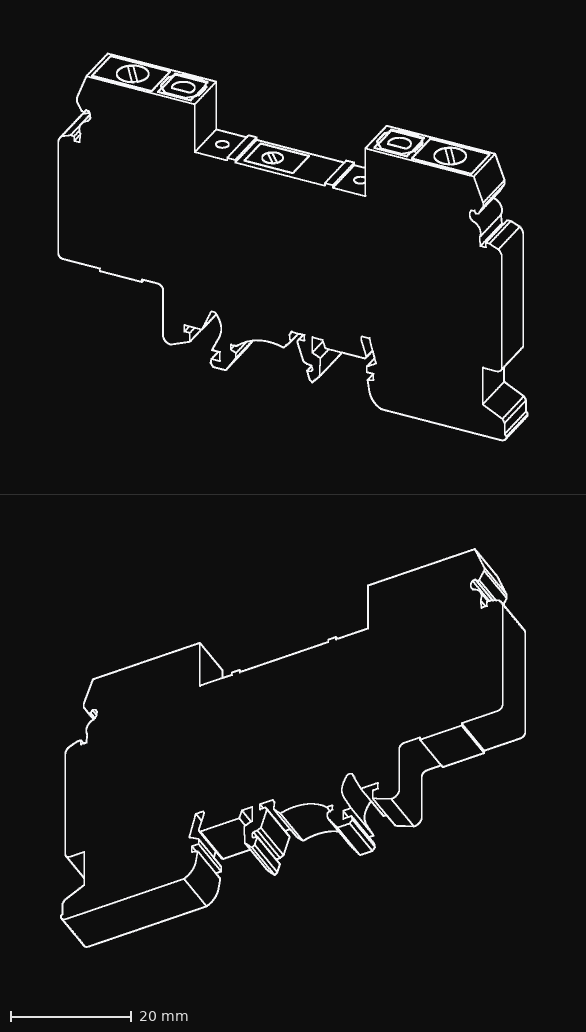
import cadquery as cq
import math

thickness = 8.0
housing_length = 82.0
housing_bottom = 13.4
deck_level = 40.8
block_top = 50.1
block_inner_x = 25.25
shoulder_base = 34.8
rail_gap_top = 10.8
foot_bottom = 0.25
rib_height = 0.5
engraving = 0.1
mid_x = housing_length / 2


def line(*point):
    """One straight step of an outline."""
    return (point,)


def arc(through, end):
    """One round step of an outline."""
    return (through, end)


def plate(start, steps):
    """Extrude a closed XZ outline through the whole thickness."""
    sketch = cq.Workplane("XZ").moveTo(*start)
    for step in steps:
        if len(step) == 1:
            sketch = sketch.lineTo(*step[0])
        else:
            sketch = sketch.threePointArc(*step)
    return sketch.close().extrude(thickness / 2, both=True)


def slab(x_range, z_range):
    """Full-thickness rectangular block."""
    (x0, x1), (z0, z1) = x_range, z_range
    return plate((x0, z0), [line(x1, z0), line(x1, z1), line(x0, z1)])


def across(solid):
    """Copy a solid to the other end of the housing."""
    return solid.mirror("YZ", (mid_x, 0, 0))


corner_radius = 1.0
pad_x = (7.7, 15.5)
pad_height = 0.5


def housing():
    core = slab((0, housing_length), (housing_bottom, shoulder_base))
    core = core.edges("|Y and <Z").fillet(corner_radius)
    deck = slab((block_inner_x, housing_length - block_inner_x), (shoulder_base, deck_level))
    pad = slab(pad_x, (housing_bottom - pad_height, housing_bottom))
    return core.union(deck).union(pad)


def terminal_block():
    return plate(
        (0, shoulder_base),
        [
            line(0, 35.8),
            arc((0.2, 36.5), (0.7, 37.2)),
            line(2.3, 37.8),
            line(3.0, 37.8),
            line(3.0, 36.9),
            line(4.0, 36.9),
            line(4.1, 38.6),
            arc((4.1, 40.3), (5.4, 41.4)),
            arc((6.0, 42.65), (5.6, 43.4)),
            line(5.1, 43.5),
            line(4.8, 43.0),
            line(4.4, 43.05),
            line(3.5, 44.7),
            line(3.5, 45.45),
            line(5.2, block_top),
            line(block_inner_x, block_top),
            line(block_inner_x, shoulder_base),
        ],
    )


foot_x = 19.4
foot_root_radius = 1.0
root_mid = foot_root_radius * (1 - math.sqrt(0.5))
root_level = housing_bottom + 0.8
root_joint_x = 43.05
rail_seat = 6.7
rail_lip = 5.5
toe_root_x = 78.4


def fixed_foot_and_clip():
    """Left rail foot, the spring slot beside it and the hooked clip."""
    return plate(
        (foot_x, root_level),
        [
            line(foot_x - foot_root_radius, root_level),
            line(foot_x - foot_root_radius, housing_bottom),
            arc(
                (foot_x - root_mid, housing_bottom - root_mid),
                (foot_x, housing_bottom - foot_root_radius),
            ),
            line(foot_x, 3.7),
            arc((19.8, 2.65), (20.9, 2.2)),
            line(24.35, 3.7),
            line(24.35, rail_lip),
            line(23.35, rail_lip),
            line(23.35, rail_seat),
            line(26.6, rail_seat),
            line(28.1, 10.2),
            arc((28.7, 10.8), (29.3, 10.3)),
            arc((30.0, 8.9), (30.1, 7.45)),
            line(29.8, 6.2),
            line(28.4, 3.2),
            line(29.9, 3.2),
            line(29.9, 1.5),
            line(28.3, 1.5),
            line(28.15, 0.7),
            line(28.65, 0),
            line(31.0, 0),
            line(32.8, 2.8),
            line(32.9, 3.9),
            line(31.9, 4.3),
            line(31.9, 5.2),
            line(32.95, 5.2),
            arc((37.4, 7.5), (41.65, 7.3)),
            line(42.9, 8.7),
            line(42.7, 10.1),
            line(root_joint_x, rail_gap_top),
            line(root_joint_x, root_level),
        ],
    )


def prong():
    """Thin barbed prong in the middle of the rail gap."""
    return plate(
        (45.45, rail_gap_top),
        [
            line(45.45, 9.7),
            line(44.5, 9.7),
            line(44.1, 9.2),
            line(45.3, 5.6),
            line(45.95, 5.3),
            line(46.7, 5.2),
            arc((46.95, 4.6), (46.7, 4.05)),
            line(45.95, 4.0),
            line(46.45, 2.4),
            line(46.95, 2.0),
            line(48.3, 3.5),
            line(48.4, 7.1),
            line(46.95, 7.8),
            line(46.95, rail_gap_top),
        ],
    )


def end_foot():
    """Right rail foot with its slanted relief slot and flared toe."""
    return plate(
        (48.85, rail_gap_top),
        [
            line(49.35, 9.3),
            line(56.6, 9.3),
            line(57.0, 9.6),
            line(56.0, 12.75),
            arc((56.8, 13.75), (57.6, 12.8)),
            line(58.7, 8.9),
            line(57.0, 7.8),
            line(57.0, rail_seat),
            line(58.2, rail_seat),
            line(58.2, rail_lip),
            line(57.1, 5.2),
            line(57.5, 3.15),
            arc((58.2, 1.4), (59.7, foot_bottom)),
            line(81.9, foot_bottom),
            arc((82.55, 0.6), (82.8, 1.25)),
            line(82.5, 1.65),
            line(82.5, 3.8),
            line(82.05, 4.5),
            line(toe_root_x, 6.3),
            line(toe_root_x, root_level),
            line(root_joint_x, root_level),
            line(root_joint_x, rail_gap_top),
        ],
    )


rib_x = (31.2, 32.7)


def deck_ribs():
    rib = slab(rib_x, (deck_level, deck_level + rib_height))
    return rib.union(across(rib))


axis_y = 0.25
screw_x = 11.7
screw_panel_x = (6.0, 17.0)
screw_panel_y = (-3.4, 3.6)
screw_radius = 2.65
screw_slot_width = 0.9
screw_slot_angle = -56
test_screw_x = 37.5
test_panel_x = (33.8, 42.7)
test_panel_y = (-2.7, 3.3)
test_screw_radius = 1.7
test_slot_width = 0.75
test_slot_angle = -49
pin_x = 28.2
pin_radius = 1.1
lug_x = 21.0
lug_width = 6.05
lug_y = (-3.15, 3.3)
octagon_width = 7.0
octagon_y = (-2.7, 3.5)
octagon_chamfer = 1.65
overlap_chamfer = octagon_chamfer - (octagon_width - lug_width) / 2
key_radius = 1.9
key_flat_y = -0.7


def rectangle(x_range, y_range, top, depth):
    """Rectangular cutter reaching down from a level."""
    (x0, x1), (y0, y1) = x_range, y_range
    return cq.Workplane("XY").box(x1 - x0, y1 - y0, depth, centered=False).translate((x0, y0, top - depth))


def disc(x, radius, top, depth):
    """Round cutter on the common axis, reaching down from a level."""
    return cq.Workplane("XY", (x, axis_y, top - depth)).circle(radius).extrude(depth)


def screw_head(x, radius, slot_width, slot_angle, top):
    """Sunk screw head whose driver slot is one step deeper."""
    head = disc(x, radius, top, engraving)
    slot = cq.Workplane("XY").box(2 * radius, slot_width, engraving)
    slot = slot.rotate((0, 0, 0), (0, 0, 1), slot_angle).translate((x, axis_y, top - 1.5 * engraving))
    return head.union(slot.intersect(disc(x, radius, top, 2 * engraving)))


def panel_with_screw(x_range, y_range, x, radius, slot_width, slot_angle, top):
    """Sunk rectangular panel holding a slotted screw head."""
    panel = rectangle(x_range, y_range, top, engraving)
    return panel.union(screw_head(x, radius, slot_width, slot_angle, top - engraving))


def centred_range(middle, width):
    return (middle - width / 2, middle + width / 2)


def clamp_lug(x):
    """Square seat crossed by a deeper octagon, deepest where they overlap, with a D-shaped key hole."""
    square_x = centred_range(x, lug_width)
    octagon_x = centred_range(x, octagon_width)
    square = rectangle(square_x, lug_y, block_top, engraving)
    octagon = rectangle(octagon_x, octagon_y, block_top, 2 * engraving)
    octagon = octagon.edges("|Z").chamfer(octagon_chamfer)
    overlap = rectangle(square_x, (octagon_y[0], lug_y[1]), block_top, 3 * engraving)
    overlap = overlap.edges("|Z and <Y").chamfer(overlap_chamfer)
    key = disc(x, key_radius, block_top, 4 * engraving)
    key_limit = rectangle(square_x, (key_flat_y, lug_y[1]), block_top, 4 * engraving)
    return square.union(octagon).union(overlap).union(key.intersect(key_limit))


def terminal_marks(x_of):
    """Marks of one terminal; x_of places a left-end X at either end."""
    panel_x = sorted(x_of(x) for x in screw_panel_x)
    marks = panel_with_screw(
        panel_x,
        screw_panel_y,
        x_of(screw_x),
        screw_radius,
        screw_slot_width,
        screw_slot_angle,
        block_top,
    )
    pin_hole = disc(x_of(pin_x), pin_radius, deck_level, engraving)
    return marks.union(clamp_lug(x_of(lug_x))).union(pin_hole)


def test_point():
    return panel_with_screw(
        test_panel_x,
        test_panel_y,
        test_screw_x,
        test_screw_radius,
        test_slot_width,
        test_slot_angle,
        deck_level,
    )


result = housing()
block = terminal_block()
for piece in (block, across(block), fixed_foot_and_clip(), prong(), end_foot(), deck_ribs()):
    result = result.union(piece)
result = result.cut(terminal_marks(lambda x: x))
result = result.cut(terminal_marks(lambda x: housing_length - x))
result = result.cut(test_point())